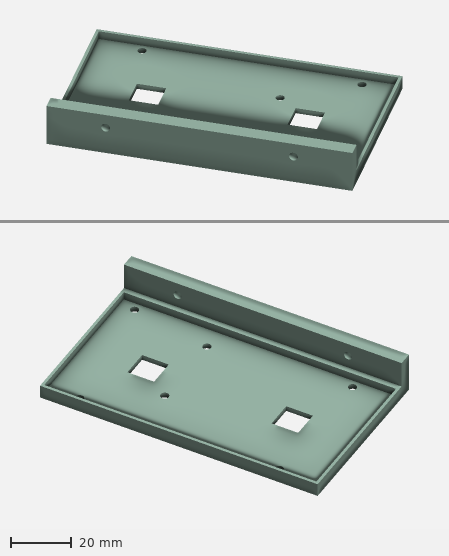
import cadquery as cq

length = 104.0
width = 62.0
height = 15.0

tray_height = 5.0
flange_thickness = 5.0
rim = 1.0
ledge = 2.0
floor_thickness = 2.0

hole_diameter = 3.0
window_size = 10.0
window_spacing = 54.0
flange_hole_spacing = 63.9
flange_hole_height = 10.0

floor_holes = [
    (16.5, 58.0),
    (91.3, 58.0),
    (15.7, 9.9),
    (97.3, 9.9),
    (67.5, 43.5),
    (67.5, 14.9),
]

recess_front = flange_thickness + ledge
recess_length = length - 2 * rim
recess_width = width - rim - recess_front
recess_middle = recess_front + recess_width / 2


def box_from_corner(x_size, y_size, z_size):
    return cq.Workplane("XY").box(x_size, y_size, z_size, centered=False)


def windows():
    """Square cutters on the middle line of the recess."""
    return (
        cq.Workplane("XY")
        .center(length / 2, recess_middle)
        .rarray(window_spacing, 1, 2, 1)
        .rect(window_size, window_size)
        .extrude(tray_height)
    )


def floor_hole_cutters():
    return (
        cq.Workplane("XY")
        .pushPoints(floor_holes)
        .circle(hole_diameter / 2)
        .extrude(tray_height)
    )


def flange_hole_cutters():
    """Cross holes through the flange; the XZ plane's normal points to -Y."""
    return (
        cq.Workplane("XZ")
        .center(length / 2, flange_hole_height)
        .rarray(flange_hole_spacing, 1, 2, 1)
        .circle(hole_diameter / 2)
        .extrude(-flange_thickness)
    )


tray = box_from_corner(length, width, tray_height)
flange = box_from_corner(length, flange_thickness, height)
recess = box_from_corner(recess_length, recess_width, tray_height - floor_thickness).translate(
    (rim, recess_front, floor_thickness)
)

result = (
    tray.union(flange)
    .cut(recess)
    .cut(windows())
    .cut(floor_hole_cutters())
    .cut(flange_hole_cutters())
)